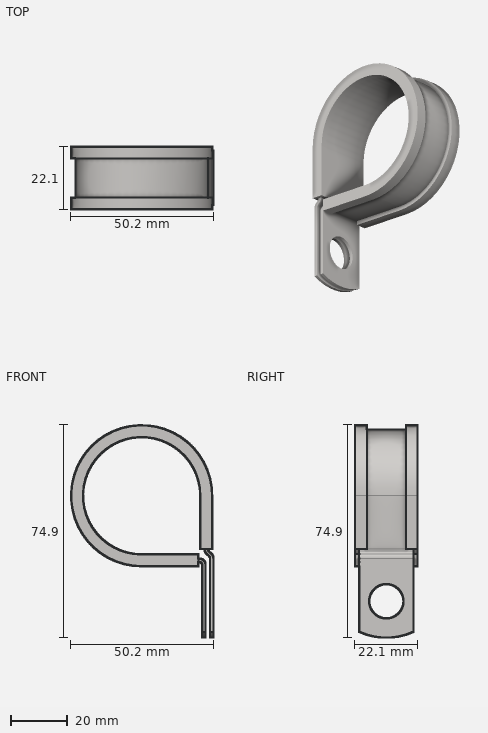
import cadquery as cq
import math


outer_radius = 24.9
cushion_thickness = 4.3
cushion_width = 22.1
upright_leg_length = 18.8
level_leg_length = 20.0
inner_radius = outer_radius - cushion_thickness

channel_width = 13.8
channel_depth = 1.5
channel_radius = outer_radius - channel_depth

strap_width = 19.2
strap_thickness = 1.3
bend_radius = 1.6
strap_radius = channel_radius - strap_thickness / 2
embed_length = 1.5

overall_height = 74.9
outer_tab_face = 25.3
tab_gap = 1.5
end_sag = 2.1
hole_diameter = 12.0
hole_drop = 37.15
tab_bottom = outer_radius - overall_height
outer_tab_x = outer_tab_face - strap_thickness / 2
inner_tab_x = outer_tab_x - strap_thickness - tab_gap

jog_angle = math.radians(45)


def loop_region(radius, width):
    """Filled three-quarter round with straight sides down to both leg ends."""
    arc_middle = radius * math.sqrt(0.5)
    return (
        cq.Workplane("XZ")
        .moveTo(0, -radius)
        .threePointArc((-arc_middle, arc_middle), (radius, 0))
        .lineTo(radius, -upright_leg_length)
        .lineTo(level_leg_length, -upright_leg_length)
        .lineTo(level_leg_length, -radius)
        .close()
        .extrude(width / 2, both=True)
    )


def cushion():
    """Loop of constant thickness with a channel in its outer face."""
    bore = loop_region(inner_radius, cushion_width)
    channel = loop_region(outer_radius, channel_width).cut(loop_region(channel_radius, channel_width))
    return loop_region(outer_radius, cushion_width).cut(bore).cut(channel)


def inner_strap():
    """Strap leaving the level leg and turning straight down."""
    path = (
        cq.Workplane("XZ")
        .moveTo(level_leg_length - embed_length, -strap_radius)
        .lineTo(inner_tab_x - bend_radius, -strap_radius)
        .tangentArcPoint((inner_tab_x, -strap_radius - bend_radius), relative=False)
        .lineTo(inner_tab_x, tab_bottom)
    )
    section = cq.Workplane("YZ", origin=(level_leg_length - embed_length, 0, -strap_radius))
    return section.rect(strap_width, strap_thickness).sweep(path)


def outer_strap():
    """Strap leaving the upright leg and jogging outward to the outer tab."""
    bend_shift = bend_radius * (1 - math.cos(jog_angle))
    bend_drop = bend_radius * math.sin(jog_angle)
    slope_shift = outer_tab_x - strap_radius - 2 * bend_shift
    slope_drop = slope_shift / math.tan(jog_angle)
    slope_top = -upright_leg_length - bend_drop
    slope_bottom = slope_top - slope_drop
    path = (
        cq.Workplane("XZ")
        .moveTo(strap_radius, -upright_leg_length + embed_length)
        .lineTo(strap_radius, -upright_leg_length)
        .tangentArcPoint((strap_radius + bend_shift, slope_top), relative=False)
        .lineTo(outer_tab_x - bend_shift, slope_bottom)
        .tangentArcPoint((outer_tab_x, slope_bottom - bend_drop), relative=False)
        .lineTo(outer_tab_x, tab_bottom)
    )
    section = cq.Workplane("XY", origin=(strap_radius, 0, -upright_leg_length + embed_length))
    return section.rect(strap_thickness, strap_width).sweep(path)


def tab_outline():
    """Envelope shared by both tabs: bowed lower end and a bolt hole."""
    half_width = strap_width / 2
    return (
        cq.Workplane("YZ")
        .moveTo(-half_width, 0)
        .lineTo(-half_width, tab_bottom + end_sag)
        .threePointArc((0, tab_bottom), (half_width, tab_bottom + end_sag))
        .lineTo(half_width, 0)
        .close()
        .extrude(outer_tab_face)
        .cut(cq.Workplane("YZ").center(0, -hole_drop).circle(hole_diameter / 2).extrude(outer_tab_face))
    )


straps = inner_strap().union(outer_strap()).intersect(tab_outline())
result = cushion().union(straps)